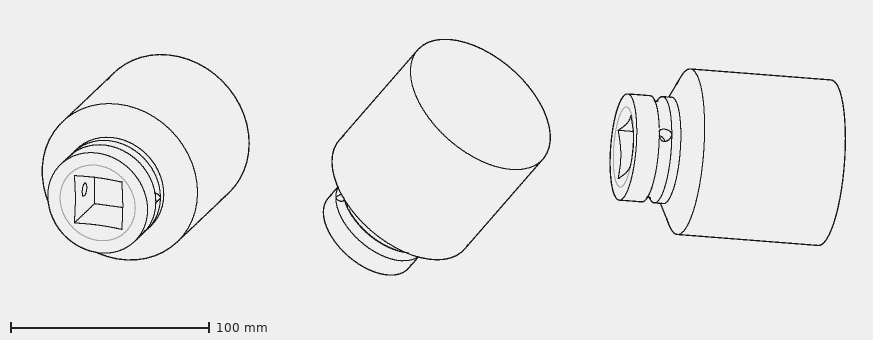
import cadquery as cq
import math

TOTAL_LENGTH = 105.0
BODY_RADIUS = 42.0
BODY_LENGTH = 73.5
SHOULDER_LENGTH = 8.5
NECK_RADIUS = 27.0

GROOVE_CENTER_Y = 15.0
GROOVE_WIDTH = 6.5
GROOVE_DEPTH = 2.6
PIN_HOLE_DIAMETER = 6.5

DRIVE_SQUARE = 25.6
DRIVE_DEPTH = 29.4
LEAD_IN_DIAMETER = 40.6
LEAD_IN_ANGLE = 15.0

body_start = TOTAL_LENGTH - BODY_LENGTH
neck_length = body_start - SHOULDER_LENGTH
lead_in_radius = LEAD_IN_DIAMETER / 2


def make_outer_body():
    """Revolve the neck, retaining groove, shoulder and body about the Y axis."""
    groove_start = GROOVE_CENTER_Y - GROOVE_WIDTH / 2
    groove_end = GROOVE_CENTER_Y + GROOVE_WIDTH / 2
    return (
        cq.Workplane("XY")
        .lineTo(NECK_RADIUS, 0)
        .lineTo(NECK_RADIUS, groove_start)
        .threePointArc(
            (NECK_RADIUS - GROOVE_DEPTH, GROOVE_CENTER_Y),
            (NECK_RADIUS, groove_end),
        )
        .lineTo(NECK_RADIUS, neck_length)
        .lineTo(BODY_RADIUS, body_start)
        .lineTo(BODY_RADIUS, TOTAL_LENGTH)
        .lineTo(0, TOTAL_LENGTH)
        .close()
        .revolve(360, (0, 0, 0), (0, 1, 0))
    )


def make_drive_square():
    """Blind square recess in the drive end."""
    return cq.Workplane("XY").box(
        DRIVE_SQUARE, DRIVE_DEPTH, DRIVE_SQUARE, centered=(True, False, True)
    )


def make_lead_in():
    """Cone that chamfers the mouth of the drive square."""
    cone_height = lead_in_radius * math.tan(math.radians(LEAD_IN_ANGLE))
    return (
        cq.Workplane("XY")
        .lineTo(lead_in_radius, 0)
        .lineTo(0, cone_height)
        .close()
        .revolve(360, (0, 0, 0), (0, 1, 0))
    )


def make_pin_hole():
    """Retaining pin hole across the neck, along X at the groove."""
    return (
        cq.Workplane("YZ")
        .center(GROOVE_CENTER_Y, 0)
        .circle(PIN_HOLE_DIAMETER / 2)
        .extrude(BODY_RADIUS, both=True)
    )


result = (
    make_outer_body()
    .cut(make_drive_square())
    .cut(make_lead_in())
    .cut(make_pin_hole())
)